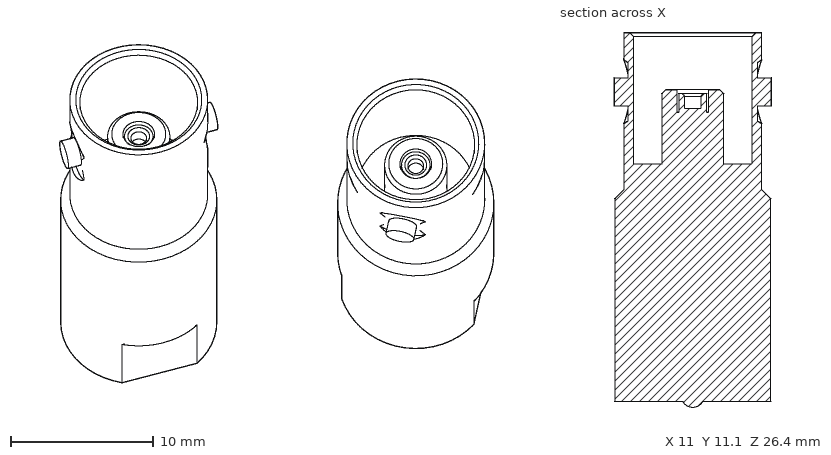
import cadquery as cq

top_z = 26.4
base_z = 0.42
flat_top_z = 4.9
pin_z = 22.23
floor_z = 17.15
boss_top_z = 22.4

body_radius = 5.505
barrel_radius = 4.85
shoulder_z = 14.7
shoulder_chamfer = body_radius - barrel_radius
flat_width = 9.5

groove_half_height = 1.3
groove_radius = 4.7

pin_radius = 1.0
pin_span = 11.05
seat_distance = 4.57
seat_floor_radius = 2.05
seat_rim_radius = 2.25
seat_clearance = 0.26

bore_radius = 4.15
bore_chamfer = 0.3
boss_radius = 2.2
boss_chamfer = 0.3

contact_hole_radius = 1.1
contact_hole_depth = 1.58
contact_radius = 1.0
contact_recess = 0.26
contact_bore_radius = 0.55
contact_bore_depth = 1.05
contact_bore_chamfer = 0.2

tip_radius = 0.7


def cylinder(radius, bottom, top):
    return cq.Workplane("XY").workplane(offset=bottom).circle(radius).extrude(top - bottom)


def make_body():
    """Revolved outside shape, from the base to the socket rim."""
    return (
        cq.Workplane("XZ")
        .moveTo(0, base_z)
        .lineTo(body_radius, base_z)
        .lineTo(body_radius, shoulder_z)
        .lineTo(barrel_radius, shoulder_z + shoulder_chamfer)
        .lineTo(barrel_radius, pin_z - groove_half_height)
        .threePointArc((groove_radius, pin_z), (barrel_radius, pin_z + groove_half_height))
        .lineTo(barrel_radius, top_z)
        .lineTo(0, top_z)
        .close()
        .revolve(360, (0, 0, 0), (0, 1, 0))
    )


def cut_wrench_flats(body):
    """Two flats facing -X and +X at the base."""
    diameter = 2 * body_radius
    height = flat_top_z - base_z
    centered = (True, True, False)
    ring = cq.Workplane("XY").box(diameter, diameter, height, centered=centered)
    core = cq.Workplane("XY").box(flat_width, diameter, height, centered=centered)
    return body.cut(ring.cut(core).translate((0, 0, base_z)))


def make_seat(side):
    """Tapered spotface on the side given by the sign of Y."""
    slope = (seat_rim_radius - seat_floor_radius) / (barrel_radius - seat_distance)
    outer_distance = barrel_radius + seat_clearance
    return cq.Workplane(
        cq.Solid.makeCone(
            seat_floor_radius,
            seat_floor_radius + slope * (outer_distance - seat_distance),
            outer_distance - seat_distance,
            cq.Vector(0, side * seat_distance, pin_z),
            cq.Vector(0, side, 0),
        )
    )


def make_pin(side):
    """Bayonet pin from inside the barrel wall out to the pin span."""
    root = (bore_radius + seat_distance) / 2
    return cq.Workplane(
        cq.Solid.makeCylinder(
            pin_radius,
            pin_span / 2 - root,
            cq.Vector(0, side * root, pin_z),
            cq.Vector(0, side, 0),
        )
    )


def make_insulator():
    """Chamfered boss with the hollow contact standing in its hole."""
    hole_floor_z = boss_top_z - contact_hole_depth
    contact_top_z = boss_top_z - contact_recess
    boss = cylinder(boss_radius, floor_z, boss_top_z).faces(">Z").chamfer(boss_chamfer)
    boss = boss.cut(cylinder(contact_hole_radius, hole_floor_z, boss_top_z))
    contact = cylinder(contact_radius, hole_floor_z, contact_top_z)
    bore = cylinder(contact_bore_radius, contact_top_z - contact_bore_depth, contact_top_z)
    lead_in = cq.Workplane(
        cq.Solid.makeCone(
            contact_bore_radius,
            contact_bore_radius + contact_bore_chamfer,
            contact_bore_chamfer,
            cq.Vector(0, 0, contact_top_z - contact_bore_chamfer),
        )
    )
    return boss.union(contact.cut(bore).cut(lead_in))


def make_tip():
    """Spherical cap whose lowest point touches Z = 0."""
    dome_radius = (tip_radius**2 + base_z**2) / (2 * base_z)
    dome = cq.Workplane("XY").sphere(dome_radius).translate((0, 0, dome_radius))
    return dome.intersect(cylinder(tip_radius, 0, base_z))


result = cut_wrench_flats(make_body())
for side in (-1, 1):
    result = result.cut(make_seat(side))

result = result.cut(cylinder(bore_radius, floor_z, top_z))
rim_bore = cq.Workplane(
    cq.Solid.makeCone(
        bore_radius,
        bore_radius + bore_chamfer,
        bore_chamfer,
        cq.Vector(0, 0, top_z - bore_chamfer),
    )
)
result = result.cut(rim_bore)

for side in (-1, 1):
    result = result.union(make_pin(side))

result = result.union(make_insulator()).union(make_tip())